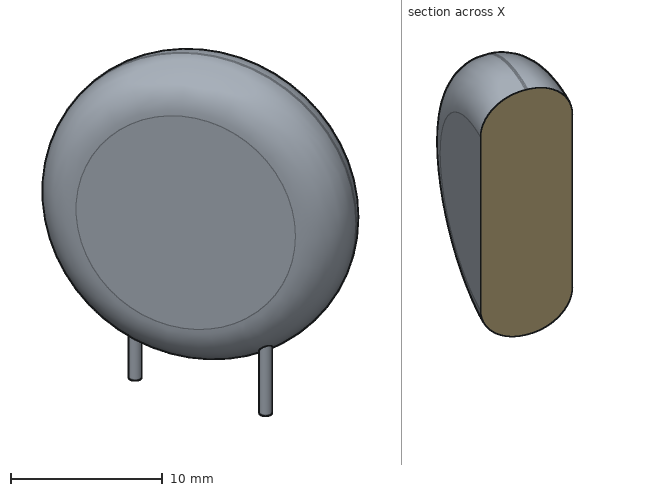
import cadquery as cq

body_diameter = 21.5
body_thickness = 6.5
rim_band_width = 0.16
edge_radius = (body_thickness - rim_band_width) / 2

lead_diameter = 0.9
lead_pitch_x = 10.0
lead_pitch_y = 3.1
lead_tip_radius = 0.18
overall_height = 24.53
lead_tip_z = body_diameter / 2 - overall_height
lead_top_z = -body_diameter / 4


def make_body():
    """Disc with both circular edges fully rounded."""
    disc = cq.Workplane("XZ").circle(body_diameter / 2).extrude(body_thickness / 2, both=True)
    return disc.edges("%CIRCLE").fillet(edge_radius)


def make_lead(x, y):
    """Round wire with a rounded lower tip."""
    wire = (
        cq.Workplane("XY", origin=(x, y, lead_tip_z))
        .circle(lead_diameter / 2)
        .extrude(lead_top_z - lead_tip_z)
    )
    return wire.faces("<Z").edges().fillet(lead_tip_radius)


result = make_body()
for side in (-1, 1):
    lead = make_lead(side * lead_pitch_x / 2, -side * lead_pitch_y / 2)
    result = result.union(lead)